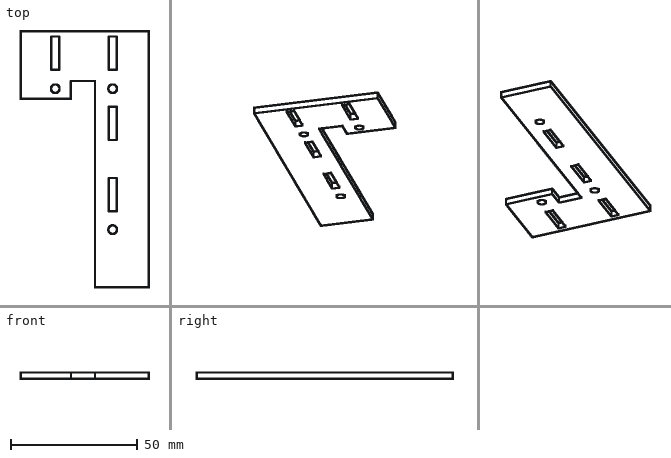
import cadquery as cq

width = 50.8
length = 101.6
thickness = 2.5

leg_width = 21.3
head_length = 19.8
tab_width = 19.9
tab_length = 26.9

left_column_x = 13.7
right_column_x = 36.5
slot_width = 3.0
slot_length = 13.1
head_slot_center = 8.7
leg_slot_centers = (36.6, 64.8)
hole_diameter = 3.4
head_hole_center = 22.9
leg_hole_center = 78.7


def place(x, distance):
    """Point at x from the left edge and at a distance from the head edge."""
    return (x - width / 2, length / 2 - distance)


outline = [
    place(0, 0),
    place(width, 0),
    place(width, length),
    place(width - leg_width, length),
    place(width - leg_width, head_length),
    place(tab_width, head_length),
    place(tab_width, tab_length),
    place(0, tab_length),
]
plate = cq.Workplane("XY").polyline(outline).close().extrude(thickness)

slot_points = [place(x, head_slot_center) for x in (left_column_x, right_column_x)]
slot_points += [place(right_column_x, distance) for distance in leg_slot_centers]
slots = cq.Workplane("XY").pushPoints(slot_points).rect(slot_width, slot_length).extrude(thickness)

hole_points = [place(x, head_hole_center) for x in (left_column_x, right_column_x)]
hole_points.append(place(right_column_x, leg_hole_center))
holes = cq.Workplane("XY").pushPoints(hole_points).circle(hole_diameter / 2).extrude(thickness)

result = plate.cut(slots).cut(holes)